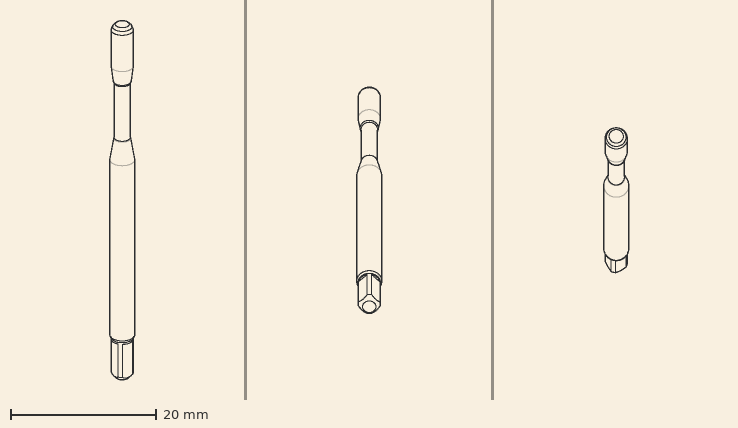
import cadquery as cq

length = 56.1
drive_chamfer_top = 0.75
shoulder_bottom = 6.3
shank_bottom = 6.7
shank_top = 34.55
shank_taper_top = 38.0
neck_bottom = 38.1
neck_top = 46.8
head_taper_bottom = 47.05
head_bottom = 49.4
head_top = 55.2
tip_break = 55.7

shank_diameter = 3.5
neck_diameter = 2.25
head_diameter = 3.1
head_taper_diameter = 2.5
tip_break_diameter = 2.7
tip_diameter = 1.95
drive_diameter = 3.1
drive_end_diameter = 1.85
shank_taper_diameter = 2.35

square_width = 2.6
square_top = 6.0


def turned_body():
    """Revolve the stepped and tapered profile about the Z axis."""
    stations = [
        (drive_end_diameter, 0),
        (drive_diameter, drive_chamfer_top),
        (drive_diameter, shoulder_bottom),
        (shank_diameter, shank_bottom),
        (shank_diameter, shank_top),
        (shank_taper_diameter, shank_taper_top),
        (neck_diameter, neck_bottom),
        (neck_diameter, neck_top),
        (head_taper_diameter, head_taper_bottom),
        (head_diameter, head_bottom),
        (head_diameter, head_top),
        (tip_break_diameter, tip_break),
        (tip_diameter, length),
    ]
    outline = [(diameter / 2, height) for diameter, height in stations]
    profile = cq.Workplane("XZ").polyline([(0, 0), *outline, (0, length)]).close()
    return profile.revolve(360, (0, 0, 0), (0, 1, 0))


def square_drive_waste():
    """Material outside the square, removed to leave four flats on the drive end."""
    waste_width = 2 * shank_diameter
    return (
        cq.Workplane("XY")
        .rect(waste_width, waste_width)
        .rect(square_width, square_width)
        .extrude(square_top)
    )


result = turned_body().cut(square_drive_waste())